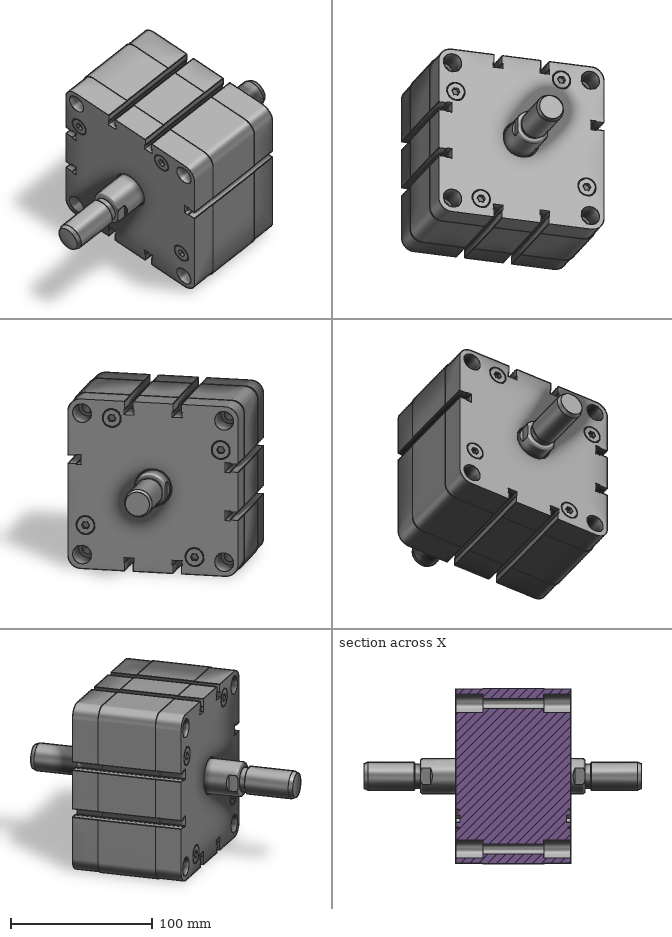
import cadquery as cq
import math


barrel_width = 124.0
cap_width = 123.5
cap_length = 19.25
barrel_length = 43.0
housing_length = barrel_length + 2 * cap_length
half_length = housing_length / 2
cap_corner_radius = 9.5
barrel_corner_radius = 9.0

slot_offset = 17.5
slot_depth = 9.7
slot_mouth_width = 6.0
slot_head_width = 7.2
slot_head_depth = 3.6
slot_lip_chamfer = 0.3
slots = [
    (0, slot_offset),
    (0, -slot_offset),
    (90, -slot_offset),
    (180, slot_offset),
    (180, -slot_offset),
    (270, slot_offset),
    (270, -slot_offset),
]

mount_pitch = 103.0
mount_hole_diameter = 8.38
mount_bore_diameter = 13.5
mount_bore_depth = cap_length

screw_near_offset = 30.0
screw_far_offset = 49.0
screw_pocket_diameter = 13.5
screw_head_diameter = 12.5
screw_pocket_depth = 2.0
hex_across_flats = 5.0
hex_depth = 3.0

rod_diameter = 25.0
rod_clearance_diameter = 27.0
rod_clearance_depth = 2.0
front_collar_length = 25.0
rear_collar_length = 10.0
collar_end_radius = 2.0
neck_length = 3.75
neck_diameter = 17.5
thread_length = 36.25
thread_diameter = 20.0
thread_start_taper = 0.7
thread_tip_taper = 3.0
flat_distance = 22.0
flat_length = 7.0


def make_slot(width, length, side_angle, place):
    """T-shaped slot with chamfered lips in the top side, turned about Y to its own side."""
    top = width / 2
    floor = top - slot_depth
    mouth_half = slot_mouth_width / 2
    head_half = slot_head_width / 2
    right_side = [
        (mouth_half + slot_lip_chamfer, top),
        (mouth_half, top - slot_lip_chamfer),
        (mouth_half, floor + slot_head_depth),
        (head_half, floor + slot_head_depth),
        (head_half, floor),
    ]
    left_side = [(-x, z) for x, z in reversed(right_side)]
    slot = cq.Workplane("XZ").polyline(right_side + left_side).close().extrude(length / 2, both=True)
    return slot.translate((place, 0, 0)).rotate((0, 0, 0), (0, 1, 0), side_angle)


def make_section(width, length, corner_radius):
    """Square slotted length of the housing, centred on the origin."""
    section = cq.Workplane("XY").box(width, length, width)
    section = section.edges("|Y").fillet(corner_radius)
    for side_angle, place in slots:
        section = section.cut(make_slot(width, length, side_angle, place))
    return section


def make_housing():
    """Barrel between two end caps that sit slightly inside its outline."""
    barrel = make_section(barrel_width, barrel_length, barrel_corner_radius)
    cap = make_section(cap_width, cap_length, cap_corner_radius)
    cap_offset = (barrel_length + cap_length) / 2
    front_cap = cap.translate((0, -cap_offset, 0))
    rear_cap = cap.translate((0, cap_offset, 0))
    return barrel.union(front_cap).union(rear_cap)


def front_face_plane():
    """Workplane on the front face, with local x = X, local y = Z and normal -Y."""
    return cq.Workplane("XZ", origin=(0, -half_length, 0))


def mirror_to_rear(shape):
    return shape.union(shape.mirror("XZ"))


def make_mount_holes():
    corners = front_face_plane().rect(mount_pitch, mount_pitch, forConstruction=True).vertices()
    holes = corners.circle(mount_hole_diameter / 2).extrude(-housing_length)
    corners = front_face_plane().rect(mount_pitch, mount_pitch, forConstruction=True).vertices()
    bores = corners.circle(mount_bore_diameter / 2).extrude(-mount_bore_depth)
    return holes.union(mirror_to_rear(bores))


def make_screw_pockets():
    """Ring gap around each flush screw head, plus its hexagon socket."""
    centers = [
        (-screw_far_offset, screw_near_offset),
        (screw_near_offset, screw_far_offset),
        (screw_far_offset, -screw_near_offset),
        (-screw_near_offset, -screw_far_offset),
    ]
    hex_across_corners = hex_across_flats / math.cos(math.pi / 6)
    heads = front_face_plane().pushPoints(centers)
    pockets = heads.circle(screw_pocket_diameter / 2).circle(screw_head_diameter / 2)
    rings = pockets.extrude(-screw_pocket_depth)
    heads = front_face_plane().pushPoints(centers)
    sockets = heads.polygon(6, hex_across_corners).extrude(-hex_depth)
    return mirror_to_rear(rings.union(sockets))


def make_rod_clearance():
    bore = front_face_plane().circle(rod_clearance_diameter / 2).extrude(-rod_clearance_depth)
    return mirror_to_rear(bore)


def make_rod_end(collar_length):
    """Half of the rod, from the housing centre toward +Y."""
    collar_end = half_length + collar_length
    neck_end = collar_end + neck_length
    tip = neck_end + thread_length
    rod_end = (
        cq.Workplane("XY")
        .lineTo(rod_diameter / 2, 0)
        .lineTo(rod_diameter / 2, collar_end - collar_end_radius)
        .radiusArc((rod_diameter / 2 - collar_end_radius, collar_end), -collar_end_radius)
        .lineTo(neck_diameter / 2, collar_end)
        .lineTo(neck_diameter / 2, neck_end)
        .lineTo(thread_diameter / 2, neck_end + thread_start_taper)
        .lineTo(thread_diameter / 2, tip - thread_tip_taper)
        .lineTo(neck_diameter / 2, tip)
        .lineTo(0, tip)
        .close()
        .revolve(360, (0, 0, 0), (0, 1, 0))
    )
    runout = (rod_diameter - flat_distance) / 2
    flat_start = collar_end - flat_length
    flat = (
        cq.Workplane("XY")
        .moveTo(flat_distance / 2, collar_end)
        .lineTo(flat_distance / 2, flat_start)
        .lineTo(rod_diameter / 2, flat_start - runout)
        .lineTo(rod_diameter / 2, collar_end)
        .close()
        .extrude(rod_diameter / 2, both=True)
    )
    return rod_end.cut(flat).cut(flat.mirror("YZ"))


housing = make_housing()
housing = housing.cut(make_mount_holes())
housing = housing.cut(make_screw_pockets())
housing = housing.cut(make_rod_clearance())

front_rod = make_rod_end(front_collar_length).mirror("XZ")
rear_rod = make_rod_end(rear_collar_length)
result = housing.union(front_rod).union(rear_rod)